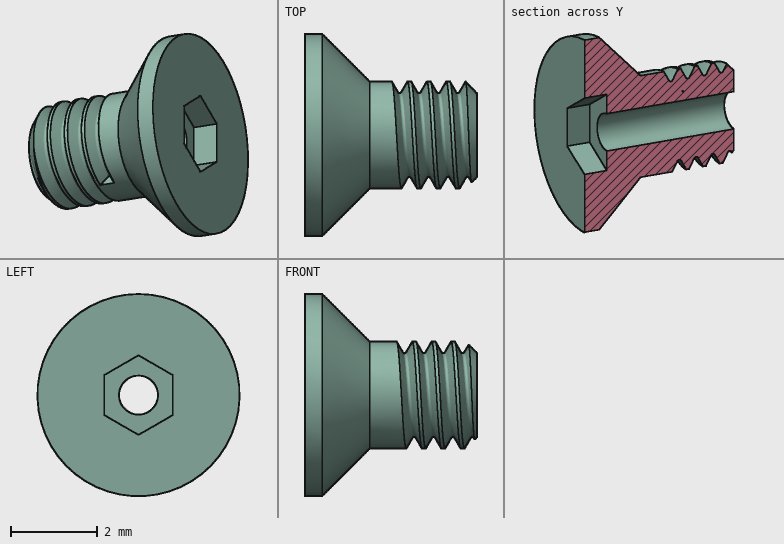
import cadquery as cq
import math


length = 4.0
head_radius = 4.7 / 2
rim_thickness = 0.4
shank_radius = 2.49 / 2

cone_end = rim_thickness + head_radius - shank_radius

hex_sides = 6
hex_across_flats = 1.6
hex_depth = 0.6
bore_radius = 0.9 / 2

pitch = 0.45
groove_width = 0.367
groove_depth = 0.27
flank_angle = math.radians(30)
first_groove_x = 2.2
lead_in_angle = 60.0
groove_clearance = 0.03

tip_chamfer = groove_depth


def make_blank():
    """Head, shank and chamfered tip, revolved about X."""
    profile = (
        cq.Workplane("XZ")
        .moveTo(0, 0)
        .lineTo(0, head_radius)
        .lineTo(rim_thickness, head_radius)
        .lineTo(cone_end, shank_radius)
        .lineTo(length - tip_chamfer, shank_radius)
        .lineTo(length, shank_radius - tip_chamfer)
        .lineTo(length, 0)
        .close()
    )
    return profile.revolve(360, (0, 0, 0), (1, 0, 0))


def make_socket():
    """Hexagonal recess with corners up and down and flats facing Y."""
    across_corners = hex_across_flats / math.cos(math.pi / hex_sides)
    socket = cq.Workplane("YZ").polygon(hex_sides, across_corners).extrude(hex_depth)
    return socket.rotate((0, 0, 0), (1, 0, 0), 180 / hex_sides)


def make_bore():
    """Round hole through the whole length."""
    return cq.Workplane("YZ").circle(bore_radius).extrude(length)


def make_thread_cutter():
    """Helical groove, swept up Z from the +X side, then turned to run along X."""
    sharp_depth = groove_width / 2 / math.tan(flank_angle)
    root_arc = (sharp_depth - groove_depth) / (1 / math.sin(flank_angle) - 1)
    root_radius = shank_radius - groove_depth
    tangent_radius = root_radius + root_arc * (1 - math.sin(flank_angle))
    tangent_half_width = root_arc * math.cos(flank_angle)
    outer_radius = shank_radius + groove_clearance
    outer_half_width = groove_width / 2 + groove_clearance * math.tan(flank_angle)

    groove = (
        cq.Workplane("XZ")
        .moveTo(outer_radius, -outer_half_width)
        .lineTo(tangent_radius, -tangent_half_width)
        .threePointArc((root_radius, 0), (tangent_radius, tangent_half_width))
        .lineTo(outer_radius, outer_half_width)
        .close()
    )
    start_x = first_groove_x - pitch * lead_in_angle / 360
    helix_height = length + pitch - start_x
    helix = cq.Wire.makeHelix(pitch, helix_height, shank_radius)
    cutter = groove.sweep(cq.Workplane(obj=helix), isFrenet=True)

    cutter = cutter.rotate((0, 0, 0), (0, 0, 1), -lead_in_angle)
    cutter = cutter.rotate((0, 0, 0), (1, 1, 1), 120)
    return cutter.translate((start_x, 0, 0))


result = make_blank().cut(make_thread_cutter()).cut(make_bore()).cut(make_socket())